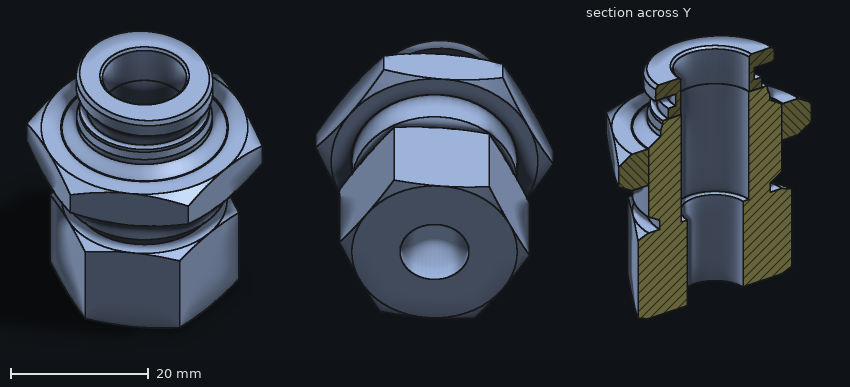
import cadquery as cq
import math

hex_top = 14.05
neck_top = 15.5
thread_bottom = 16.65
nut_bottom = 21.83
nut_top = 27.85
land_bottom = 29.18
land_top = 30.1
rim_bottom = 31.15
housing_top = 31.65
collar_top = 33.35
flange_bottom = 35.2
total_height = 37.7

thread_diameter = 24.0
hex_across_flats = thread_diameter
hex_chamfer_angle = 20.0
neck_diameter = 20.0
land_diameter = 19.7
rim_diameter = 18.9
through_diameter = 10.0
tube_seat_diameter = 12.15
tube_seat_bottom = hex_top

nut_across_flats = 30.0
nut_chamfer_angle = 30.0
nut_entry_chamfer = 0.15

sleeve_bore_diameter = 12.2
sleeve_bore_chamfer = 0.38
collar_diameter = 16.9
stem_diameter = 14.2
flange_length = 21.5
flange_width = 19.6
flange_chamfer = 0.53


def cylinder(diameter, bottom, top):
    """Cylinder on the Z axis between two heights."""
    return cq.Workplane("XY").workplane(offset=bottom).circle(diameter / 2).extrude(top - bottom)


def revolve_profile(points):
    """Turn a closed (radius, height) outline about the Z axis."""
    return cq.Workplane("XZ").polyline(points).close().revolve(360, (0, 0, 0), (0, 1, 0))


def chamfered_hexagon(across_flats, bottom, top, chamfer_angle):
    """Hexagonal prism with corners on X, its corners turned conically at both ends."""
    flat_radius = across_flats / 2
    corner_radius = flat_radius / math.cos(math.radians(30))
    corner_drop = (corner_radius - flat_radius) * math.tan(math.radians(chamfer_angle))
    prism = (
        cq.Workplane("XY")
        .workplane(offset=bottom)
        .polygon(6, 2 * corner_radius)
        .extrude(top - bottom)
    )
    envelope = revolve_profile([
        (0, bottom),
        (flat_radius, bottom),
        (corner_radius, bottom + corner_drop),
        (corner_radius, top - corner_drop),
        (flat_radius, top),
        (0, top),
    ])
    return prism.intersect(envelope)


def make_housing():
    """Hexagonal base with a turned stem, bored through and widened above for the tube."""
    stem = revolve_profile([
        (0, hex_top),
        (neck_diameter / 2, hex_top),
        (neck_diameter / 2, neck_top),
        (thread_diameter / 2, thread_bottom),
        (thread_diameter / 2, nut_top),
        (land_diameter / 2, land_bottom),
        (land_diameter / 2, land_top),
        (rim_diameter / 2, rim_bottom),
        (rim_diameter / 2, housing_top),
        (0, housing_top),
    ])
    base = chamfered_hexagon(hex_across_flats, 0, hex_top, hex_chamfer_angle)
    through_hole = cylinder(through_diameter, 0, housing_top)
    tube_seat = cylinder(tube_seat_diameter, tube_seat_bottom, housing_top)
    return base.union(stem).cut(through_hole).cut(tube_seat)


def make_lock_nut():
    """Hexagonal nut on the thread, with a small chamfer at each end of its hole."""
    blank = chamfered_hexagon(nut_across_flats, nut_bottom, nut_top, nut_chamfer_angle)
    hole_radius = thread_diameter / 2
    entry_radius = hole_radius + nut_entry_chamfer
    hole = revolve_profile([
        (0, nut_bottom),
        (entry_radius, nut_bottom),
        (hole_radius, nut_bottom + nut_entry_chamfer),
        (hole_radius, nut_top - nut_entry_chamfer),
        (entry_radius, nut_top),
        (0, nut_top),
    ])
    return blank.cut(hole)


def make_release_sleeve():
    """Oval push flange on a round stem and collar that stand on top of the housing."""
    flange = (
        cq.Workplane("XY")
        .workplane(offset=flange_bottom)
        .ellipse(flange_length / 2, flange_width / 2)
        .extrude(total_height - flange_bottom)
        .faces(">Z")
        .edges()
        .chamfer(flange_chamfer)
    )
    stem = cylinder(stem_diameter, collar_top, flange_bottom)
    collar = cylinder(collar_diameter, housing_top, collar_top)
    bore_radius = sleeve_bore_diameter / 2
    bore = revolve_profile([
        (0, housing_top),
        (bore_radius, housing_top),
        (bore_radius, total_height - sleeve_bore_chamfer),
        (bore_radius + sleeve_bore_chamfer, total_height),
        (0, total_height),
    ])
    return flange.union(stem).union(collar).cut(bore)


housing = make_housing()
lock_nut = make_lock_nut()
release_sleeve = make_release_sleeve()

result = cq.Compound.makeCompound([housing.val(), lock_nut.val(), release_sleeve.val()])